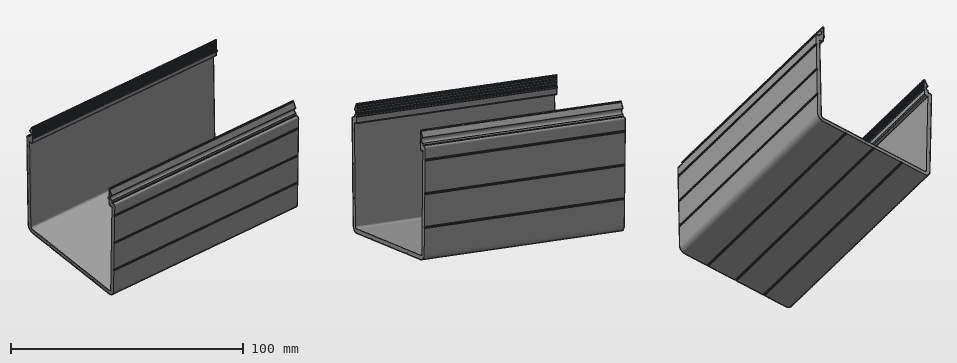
import cadquery as cq
import math

length = 100.0
height = 57.5
max_width = 61.8

wall = 2.0
wall_lean = math.radians(1.1)
corner_radius = 3.2
inner_corner_radius = 1.0

shoulder_top = 51.0
shoulder_radius = 1.0
ledge_height = 48.5
ledge_bevel = 0.5
lip_inner_x = 27.0

foot_bottom_x = 29.4
foot_top_x = 29.1
foot_top = 51.3
neck_bottom_x = 28.8
neck_bottom = 52.0
neck_depth_x = 27.9
barb_x = 28.7
barb_nose_x = 28.8
barb_bottom = 54.5
barb_top = 55.0
tip_outer_x = 27.4
tip_radius = 0.3
tip_inner_x = 26.7

rib_x = 26.3
rib_bottom = 51.7
rib_top = 52.4
first_serration = 53.2
serration_pitch = 1.2
serration_count = 4
serration_width = 0.6
serration_floor_width = 0.2
serration_depth = 0.3

groove_width = 0.9
groove_floor_width = 0.3
groove_depth = 0.3
groove_pitch = 15.0
wall_groove_heights = [groove_pitch * i for i in (1, 2, 3)]
base_groove_places = [groove_pitch * i for i in (-1, 0, 1)]

shoulder_bottom = shoulder_top - shoulder_radius


def outer_wall_x(z):
    """Distance from the middle plane to the outer wall face at height z."""
    return max_width / 2 - (shoulder_bottom - z) * math.tan(wall_lean)


def inner_wall_x(z):
    """Distance from the middle plane to the inner wall face at height z."""
    return outer_wall_x(z) - wall / math.cos(wall_lean)


def section_plane():
    """XZ sketch plane at the +Y end; extruding it runs towards -Y."""
    return cq.Workplane("XZ", origin=(0, length / 2, 0))


def extrude_along_y(outline):
    return outline.close().extrude(length)


def groove_cutter(mouth_x, mouth_z, width, floor_width, depth, inward_x, inward_z):
    """Tapered groove along Y; (inward_x, inward_z) is the unit direction from its mouth into the part."""
    floor_x = mouth_x + inward_x * depth
    floor_z = mouth_z + inward_z * depth
    outline = section_plane().moveTo(mouth_x - inward_z * width / 2, mouth_z - inward_x * width / 2)
    outline = outline.lineTo(mouth_x + inward_z * width / 2, mouth_z + inward_x * width / 2)
    outline = outline.lineTo(floor_x + inward_z * floor_width / 2, floor_z + inward_x * floor_width / 2)
    outline = outline.lineTo(floor_x - inward_z * floor_width / 2, floor_z - inward_x * floor_width / 2)
    return extrude_along_y(outline)


def marking_groove(mouth_x, mouth_z, inward_x, inward_z):
    return groove_cutter(
        mouth_x, mouth_z, groove_width, groove_floor_width, groove_depth, inward_x, inward_z
    )


def channel_half():
    """Half of the channel on the +X side, with its base, wall and lip."""
    body = extrude_along_y(
        section_plane()
        .lineTo(outer_wall_x(0), 0)
        .lineTo(outer_wall_x(shoulder_bottom), shoulder_bottom)
        .radiusArc((max_width / 2 - shoulder_radius, shoulder_top), -shoulder_radius)
        .lineTo(foot_bottom_x, shoulder_top)
        .lineTo(foot_top_x, foot_top)
        .lineTo(neck_bottom_x, neck_bottom)
        .threePointArc((neck_depth_x, (neck_bottom + barb_bottom) / 2), (barb_x, barb_bottom))
        .threePointArc((barb_nose_x, (barb_bottom + barb_top) / 2), (barb_x, barb_top))
        .lineTo(tip_outer_x, height - tip_radius)
        .radiusArc((tip_outer_x - tip_radius, height), -tip_radius)
        .lineTo(tip_inner_x, height)
        .lineTo(tip_inner_x, rib_top)
        .lineTo(rib_x, rib_top)
        .lineTo(rib_x, rib_bottom)
        .lineTo(lip_inner_x, rib_bottom)
        .lineTo(lip_inner_x, ledge_height + ledge_bevel)
        .lineTo(lip_inner_x + ledge_bevel, ledge_height)
        .lineTo(inner_wall_x(ledge_height), ledge_height)
        .lineTo(inner_wall_x(wall), wall)
        .lineTo(0, wall)
    )
    outer_corner = cq.selectors.NearestToPointSelector((outer_wall_x(0), 0, 0))
    inner_corner = cq.selectors.NearestToPointSelector((inner_wall_x(wall), 0, wall))
    body = body.edges(outer_corner).fillet(corner_radius)
    return body.edges(inner_corner).fillet(inner_corner_radius)


def cut_serrations(body):
    for i in range(serration_count):
        z = first_serration + i * serration_pitch
        serration = groove_cutter(
            tip_inner_x, z, serration_width, serration_floor_width, serration_depth, 1, 0
        )
        body = body.cut(serration)
    return body


def cut_wall_grooves(body):
    for z in wall_groove_heights:
        body = body.cut(marking_groove(outer_wall_x(z), z, -1, 0))
    return body


def cut_base_grooves(body):
    for x in base_groove_places:
        body = body.cut(marking_groove(x, 0, 0, 1))
    return body


half = cut_wall_grooves(cut_serrations(channel_half()))
channel = half.union(half.mirror("YZ")).clean()
result = cut_base_grooves(channel)